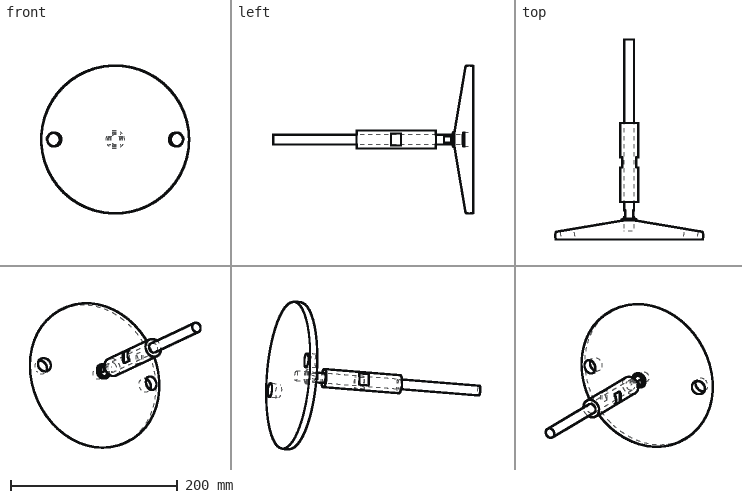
import cadquery as cq
import math


base_diameter = 178.0
rim_lower_height = 4.1
rim_upper_height = 7.2
rim_lower_draft = 0.55
rim_upper_draft = 4.0
rim_rounding = 2.65
cone_angle = 9.56
cone_top_height = 22.7

collar_neck_diameter = 16.0
collar_lip_diameter = 18.0
collar_top_diameter = 13.0
collar_neck_height = 23.3
collar_lip_height = 24.0
collar_top_height = 25.2

anchor_hole_diameter = 16.5
anchor_hole_radius = 72.9

spindle_diameter = 12.0
spindle_end_height = 240.0
spindle_socket_floor = 10.0
spindle_flats_width = 10.0
spindle_flats_bottom = 27.0
spindle_flats_length = 8.0

sleeve_diameter = 22.0
sleeve_bottom = 45.0
sleeve_length = 95.0
sleeve_flats_width = 17.0
sleeve_flats_length = 12.0
sleeve_flats_bottom = sleeve_bottom + (sleeve_length - sleeve_flats_length) / 2


def cylinder_along_y(diameter, bottom, length):
    """Round bar on the Y axis, from height `bottom` upwards."""
    return cq.Workplane("XZ", origin=(0, bottom, 0)).circle(diameter / 2).extrude(-length)


def cut_wrench_flats(bar, diameter, width, bottom, length):
    """Mill two opposite flats, facing -X and +X, into a round bar."""
    depth = (diameter - width) / 2
    for side in (-1, 1):
        cutter = cq.Workplane("XY").box(depth, length, diameter)
        cutter = cutter.translate((side * (width + depth) / 2, bottom + length / 2, 0))
        bar = bar.cut(cutter)
    return bar


def make_base():
    """Turned plate with a conical top, a rounded rim and a collar, with socket and anchor holes."""
    radius = base_diameter / 2
    slope = math.radians(cone_angle)

    lean = math.radians(rim_upper_draft)
    rounding_start_radius = radius - (rim_upper_height - rim_lower_height) * math.tan(lean)

    rounding_centre_radius = rounding_start_radius - rim_rounding * math.cos(lean)
    rounding_centre_height = rim_upper_height - rim_rounding * math.sin(lean)

    def rounding_point(angle):
        """Radius and height of the rounding at an angle from the outward direction."""
        return (
            rounding_centre_radius + rim_rounding * math.cos(angle),
            rounding_centre_height + rim_rounding * math.sin(angle),
        )

    rounding_end_angle = math.pi / 2 - slope
    tangent_radius, tangent_height = rounding_point(rounding_end_angle)
    rounding_middle = rounding_point((lean + rounding_end_angle) / 2)
    cone_top_radius = tangent_radius - (cone_top_height - tangent_height) / math.tan(slope)

    base = (
        cq.Workplane("XY")
        .lineTo(radius - rim_lower_draft, 0)
        .lineTo(radius, rim_lower_height)
        .lineTo(rounding_start_radius, rim_upper_height)
        .threePointArc(rounding_middle, (tangent_radius, tangent_height))
        .lineTo(cone_top_radius, cone_top_height)
        .lineTo(collar_neck_diameter / 2, cone_top_height)
        .lineTo(collar_neck_diameter / 2, collar_neck_height)
        .lineTo(collar_lip_diameter / 2, collar_lip_height)
        .lineTo(collar_top_diameter / 2, collar_top_height)
        .lineTo(0, collar_top_height)
        .close()
        .revolve(360, (0, 0, 0), (0, 1, 0))
    )
    socket_depth = collar_top_height - spindle_socket_floor
    base = base.cut(cylinder_along_y(spindle_diameter, spindle_socket_floor, socket_depth))

    hole_length = 3 * cone_top_height
    for side in (-1, 1):
        axis = cq.Vector(side * math.sin(slope), math.cos(slope), 0)
        start = cq.Vector(side * anchor_hole_radius, 0, 0) - axis * (hole_length / 2)
        drill = cq.Solid.makeCylinder(anchor_hole_diameter / 2, hole_length, start, axis)
        base = base.cut(cq.Workplane(drill))
    return base


def make_spindle():
    """Round rod with wrench flats close to the base."""
    rod = cylinder_along_y(
        spindle_diameter, spindle_socket_floor, spindle_end_height - spindle_socket_floor
    )
    return cut_wrench_flats(
        rod, spindle_diameter, spindle_flats_width, spindle_flats_bottom, spindle_flats_length
    )


def make_sleeve():
    """Round sleeve around the spindle with wrench flats half way along."""
    sleeve = cylinder_along_y(sleeve_diameter, sleeve_bottom, sleeve_length)
    sleeve = sleeve.cut(cylinder_along_y(spindle_diameter, sleeve_bottom, sleeve_length))
    return cut_wrench_flats(
        sleeve, sleeve_diameter, sleeve_flats_width, sleeve_flats_bottom, sleeve_flats_length
    )


base = make_base()
spindle = make_spindle()
sleeve = make_sleeve()

result = cq.Compound.makeCompound([base.val(), spindle.val(), sleeve.val()])